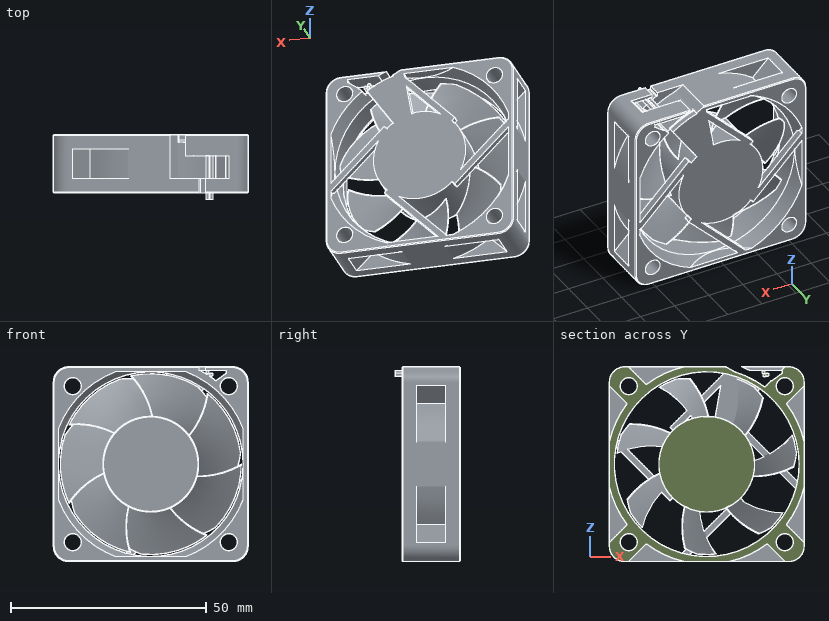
import cadquery as cq
import math

SIDE = 50.0
DEPTH = 15.0
CORNER_RADIUS = 4.0
OUTER_CHAMFER = 0.25
HALF_SIDE = SIDE / 2
FRONT_Y = -DEPTH / 2
BACK_Y = DEPTH / 2

THROAT_RADIUS = 23.65
FLARE_RADIUS = 25.35
FLARE_DEPTH = 3.75
FLARE_FLAT = 23.7

HOLE_OFFSET = 20.0
HOLE_DIAMETER = 4.3

POCKET_HALF_WIDTH = 3.75
POCKET_FLOOR_RADIUS = 25.65
POCKET_END = 20.1
WALL_SHIFT = HALF_SIDE - POCKET_END

RECESS_START = 4.9
RECESS_RAMP_END = 7.1
RECESS_FLOOR_RADIUS = 24.75
LID_START = 8.9
LID_FRONT_Y = 2.05
LID_THICKNESS = 1.0
LID_TAPER_LENGTH = 2.1
LID_UNDERSIDE = HALF_SIDE - LID_THICKNESS
LEAD_HOLE_FLOOR_RADIUS = 27.15
ENTRY_SLOT_START = 12.4
ENTRY_SLOT_END = 14.0
LEAD_HOLE_LOW_CORNER = 16.7
LEAD_HOLE_SIDE = 19.3
LEAD_HOLE_SIDE_HEIGHT = 0.7

LEAD_RADIUS = 0.425
LEAD_TIP_Y = -9.2
LEAD_BACK_Y = POCKET_HALF_WIDTH
LEADS = [
    (15.55, 22.95, LEAD_TIP_Y),
    (14.55, 23.6, LEAD_TIP_Y),
    (14.8, 22.8, FRONT_Y),
]

HUB_RADIUS = 12.3
HUB_FRONT_Y = -7.45
HUB_CHAMFER = 0.2
BLADE_COUNT = 7
BLADE_PITCH = 360 / BLADE_COUNT
BLADE_FRONT_Y = -7.0
BLADE_BACK_Y = 2.75
BLADE_EDGE_WIDTH = 0.7
BLADE_TIP_RADIUS = 23.2
TIP_TRIM_LENGTH = 1.4
TIP_TRIM_HEIGHT = 0.9
BLADE_EDGE = [(10.5, 86.5), (17.3, 94.7), (24.0, 104.0)]

STRUT_COUNT = 4
STRUT_ANGLE = 45.0
STRUT_WIDTH = 1.65
STRUT_OFFSET = 12.5
STRUT_FRONT_Y = 5.5
TRAY_START_ANGLE = 55.0
TRAY_END_ANGLE = 80.0
STRUT_REACH = 24.5


def sketch_at(y):
    """XZ workplane at the given y; positive extrusion runs toward the front (-Y)."""
    return cq.Workplane("XZ", origin=(0, y, 0))


def block(x0, x1, y0, y1, z0, z1):
    return cq.Workplane("XY").box(x1 - x0, y1 - y0, z1 - z0, centered=False).translate((x0, y0, z0))


def polar(radius, angle):
    turn = math.radians(angle)
    return (radius * math.cos(turn), radius * math.sin(turn))


def turned(body, angle):
    """Turn a body about the fan axis, counterclockwise seen from the front."""
    return body.rotate((0, 0, 0), (0, -1, 0), angle)


def wall_meeting(floor_radius):
    """Point where a round floor meets the 45 degree wall beside the +X +Z corner."""
    x = (math.sqrt(2 * floor_radius**2 - WALL_SHIFT**2) - WALL_SHIFT) / 2
    return (x, x + WALL_SHIFT)


def height_on(radius, x):
    return math.sqrt(radius**2 - x**2)


def arc_middle(radius, start_x, end_x):
    """Point of a circle about the fan axis halfway across the stretch from start_x to end_x."""
    x = (start_x + end_x) / 2
    return (x, height_on(radius, x))


def make_duct():
    throat = sketch_at(BACK_Y).circle(THROAT_RADIUS).extrude(DEPTH)
    flares = (
        cq.Workplane("XY")
        .moveTo(0, FRONT_Y)
        .lineTo(FLARE_RADIUS, FRONT_Y)
        .lineTo(THROAT_RADIUS, FRONT_Y + FLARE_DEPTH)
        .lineTo(THROAT_RADIUS, BACK_Y - FLARE_DEPTH)
        .lineTo(FLARE_RADIUS, BACK_Y)
        .lineTo(0, BACK_Y)
        .close()
        .revolve(360, (0, 0, 0), (0, 1, 0))
    )
    trim = cq.Workplane("XY").box(2 * FLARE_FLAT, DEPTH, 2 * FLARE_FLAT)
    return throat.union(flares.intersect(trim))


def make_pockets():
    """Two pockets at every corner; the top right one is left to the lead recess."""
    start = height_on(POCKET_FLOOR_RADIUS, HALF_SIDE)
    meeting = wall_meeting(POCKET_FLOOR_RADIUS)
    pocket = (
        sketch_at(POCKET_HALF_WIDTH)
        .moveTo(start, HALF_SIDE)
        .threePointArc(arc_middle(POCKET_FLOOR_RADIUS, start, meeting[0]), meeting)
        .lineTo(POCKET_END, HALF_SIDE)
        .close()
        .extrude(2 * POCKET_HALF_WIDTH)
    )
    mirrored = pocket.mirror("YZ")
    pockets = mirrored
    for quarter in range(1, 4):
        pockets = pockets.union(turned(pocket, 90 * quarter))
        pockets = pockets.union(turned(mirrored, 90 * quarter))
    return pockets


def make_lead_hole():
    """Roughly triangular opening below the lid level, running through the whole depth."""
    start = height_on(LEAD_HOLE_FLOOR_RADIUS, LID_UNDERSIDE)
    low_corner = (LEAD_HOLE_LOW_CORNER, height_on(LEAD_HOLE_FLOOR_RADIUS, LEAD_HOLE_LOW_CORNER))
    return (
        sketch_at(BACK_Y)
        .moveTo(start, LID_UNDERSIDE)
        .threePointArc(arc_middle(LEAD_HOLE_FLOOR_RADIUS, start, low_corner[0]), low_corner)
        .lineTo(LEAD_HOLE_SIDE, LID_UNDERSIDE - LEAD_HOLE_SIDE_HEIGHT)
        .lineTo(LEAD_HOLE_SIDE, LID_UNDERSIDE)
        .close()
        .extrude(DEPTH)
    )


def make_lead_recess():
    """Recess open to the back face, partly covered by a sharp-edged lid, with a slot to lay the leads in."""
    meeting = wall_meeting(RECESS_FLOOR_RADIUS)
    recess = (
        sketch_at(BACK_Y)
        .moveTo(RECESS_START, HALF_SIDE)
        .lineTo(RECESS_RAMP_END, height_on(RECESS_FLOOR_RADIUS, RECESS_RAMP_END))
        .threePointArc(arc_middle(RECESS_FLOOR_RADIUS, RECESS_RAMP_END, meeting[0]), meeting)
        .lineTo(POCKET_END, HALF_SIDE)
        .close()
        .extrude(BACK_Y + POCKET_HALF_WIDTH)
    )
    lid = (
        sketch_at(BACK_Y)
        .moveTo(LID_START, HALF_SIDE)
        .lineTo(LID_START + LID_TAPER_LENGTH, LID_UNDERSIDE)
        .lineTo(HALF_SIDE, LID_UNDERSIDE)
        .lineTo(HALF_SIDE, HALF_SIDE)
        .close()
        .extrude(BACK_Y - LID_FRONT_Y)
    )
    entry_slot = block(
        ENTRY_SLOT_START, ENTRY_SLOT_END, FRONT_Y, -POCKET_HALF_WIDTH, LID_UNDERSIDE, HALF_SIDE
    )
    return recess.cut(lid).union(make_lead_hole()).union(entry_slot)


def make_frame():
    body = (
        cq.Workplane("XY")
        .box(SIDE, DEPTH, SIDE)
        .edges("|Y")
        .fillet(CORNER_RADIUS)
        .faces("<Y or >Y")
        .edges()
        .chamfer(OUTER_CHAMFER)
    )
    holes = (
        sketch_at(BACK_Y)
        .rect(2 * HOLE_OFFSET, 2 * HOLE_OFFSET, forConstruction=True)
        .vertices()
        .circle(HOLE_DIAMETER / 2)
        .extrude(DEPTH)
    )
    return body.cut(make_duct()).cut(holes).cut(make_pockets()).cut(make_lead_recess())


def make_hub():
    return sketch_at(BACK_Y).circle(HUB_RADIUS).extrude(BACK_Y - HUB_FRONT_Y).faces("<Y").chamfer(HUB_CHAMFER)


def make_blades():
    """Thin curved edge twisted by one blade pitch while it runs from the back to the front."""
    near = [polar(radius, angle - BLADE_PITCH) for radius, angle in BLADE_EDGE]
    far = [polar(radius, angle - BLADE_PITCH - BLADE_EDGE_WIDTH) for radius, angle in BLADE_EDGE]
    blade = (
        sketch_at(BLADE_BACK_Y)
        .moveTo(*near[0])
        .threePointArc(near[1], near[2])
        .lineTo(*far[2])
        .threePointArc(far[1], far[0])
        .close()
        .twistExtrude(BLADE_BACK_Y - BLADE_FRONT_Y, BLADE_PITCH)
    )
    envelope = (
        cq.Workplane("XY")
        .moveTo(0, FRONT_Y)
        .lineTo(BLADE_TIP_RADIUS, FRONT_Y)
        .lineTo(BLADE_TIP_RADIUS, BLADE_BACK_Y - TIP_TRIM_LENGTH)
        .lineTo(BLADE_TIP_RADIUS - TIP_TRIM_HEIGHT, BLADE_BACK_Y)
        .lineTo(0, BLADE_BACK_Y)
        .close()
        .revolve(360, (0, 0, 0), (0, 1, 0))
    )
    blade = blade.intersect(envelope)
    return [turned(blade, BLADE_PITCH * index) for index in range(BLADE_COUNT)]


def make_struts():
    """Bars tangent to the hub, and a wider sector that carries the leads out to the recess."""
    bar = block(
        STRUT_OFFSET - STRUT_WIDTH / 2,
        STRUT_OFFSET + STRUT_WIDTH / 2,
        STRUT_FRONT_Y,
        BACK_Y,
        -STRUT_REACH,
        0,
    )
    struts = (
        sketch_at(BACK_Y)
        .lineTo(*polar(STRUT_REACH, TRAY_START_ANGLE))
        .threePointArc(
            polar(STRUT_REACH, (TRAY_START_ANGLE + TRAY_END_ANGLE) / 2),
            polar(STRUT_REACH, TRAY_END_ANGLE),
        )
        .close()
        .extrude(BACK_Y - STRUT_FRONT_Y)
    )
    for index in range(STRUT_COUNT):
        struts = struts.union(turned(bar, STRUT_ANGLE + index * 360 / STRUT_COUNT))
    outline = block(-FLARE_FLAT, FLARE_FLAT, FRONT_Y, BACK_Y, -FLARE_FLAT, FLARE_FLAT)
    return struts.intersect(outline)


def make_lead(x, z, front_y):
    return sketch_at(LEAD_BACK_Y).center(x, z).circle(LEAD_RADIUS).extrude(LEAD_BACK_Y - front_y)


result = make_frame().union(make_struts()).union(make_hub())
for blade in make_blades():
    result = result.union(blade)
for x, z, front_y in LEADS:
    result = result.union(make_lead(x, z, front_y))